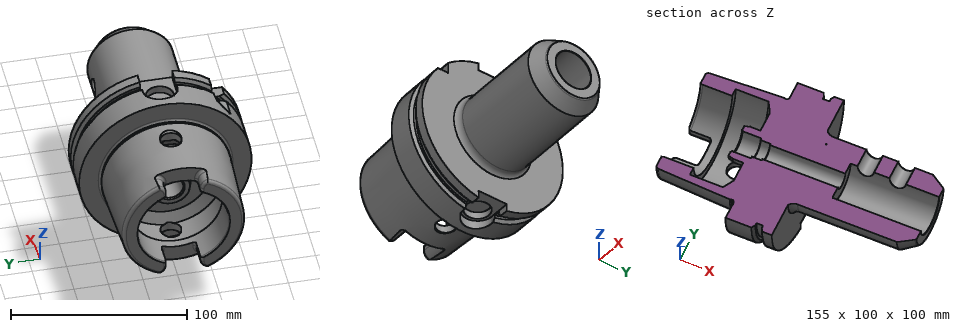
import cadquery as cq
import math

length = 155.0

taper_mouth_radius = 35.5
taper_end_radius = 37.7
taper_end_x = 47.3
mouth_round = 2.0
relief_depth = 0.3
relief_chamfer = 1.0
relief_fillet_length = 1.0
relief_fillet_rise = 1.7

flange_radius = 100.0 / 2
flange_start_x = 50.0
flange_end_x = 79.0
groove_left_x = 66.3
groove_right_x = 73.0
groove_radius = 46.0
groove_chamfer_length = 1.4
groove_chamfer_depth = 2.3

shank_radius = 50.0 / 2
shank_fillet_end_x = 83.7
shank_fillet_rise = 2.5
nose_start_x = 145.5
nose_end_radius = 19.4
nose_round = 0.8

bore_radius = 53.0 / 2
bore_mouth_radius = 53.8 / 2
bore_mouth_chamfer_length = 1.4
recess_radius = 63.0 / 2
recess_start_x = 20.0
recess_end_x = 40.3
floor_radius = 50.0 / 2
floor_x = 44.0

boss_radius = 24.0 / 2
boss_end_radius = 21.9 / 2
boss_start_x = 34.4
boss_chamfer_length = 3.3
boss_mouth_radius = 16.0 / 2
boss_bore_radius = 14.4 / 2
boss_bore_depth = 12.4
step_radius = 12.0 / 2
step_depth = 6.2
coolant_radius = 10.0 / 2

tool_bore_radius = 25.0 / 2
tool_bore_mouth_radius = 25.4 / 2
tool_bore_start_x = 100.0

slot_width = 20.0
slot_corner_radius = 5.3
slot_corner_z = 32.5
slot_edge_round = 1.7
upper_slot_depth = 9.9
lower_slot_depth = 14.9

wall_hole_x = 34.9
wall_hole_radius = 12.0 / 2
wall_hole_sink_z = 36.3
wall_hole_sink_height = 1.9
boss_clearance = 3.1

keyway_radius = 10.0
keyway_x = 65.0
keyway_floor_z = 44.0
keyway_hole_radius = 16.0 / 2
keyway_hole_depth = 4.6
side_keyway_wall_y = -31.5
side_keyway_floor_z = 31.5

screw_hole_radius = 10.0 / 2
screw_hole_xs = (109.3, 129.1)


def revolve(outline):
    """Turn a closed outline of (x, radius) about the X axis."""
    return outline.close().revolve(360, (0, 0, 0), (1, 0, 0))


def arc_radius(run, offset):
    """Radius of an arc that leaves its tangent line by offset after a given run."""
    return math.hypot(run, offset) ** 2 / (2 * offset)


def turned_body():
    relief_radius = taper_end_radius - relief_depth
    groove_mid_radius = flange_radius - groove_chamfer_depth
    relief_fillet_radius = arc_radius(relief_fillet_rise, relief_fillet_length)
    shank_fillet_radius = arc_radius(shank_fillet_end_x - flange_end_x, shank_fillet_rise)
    outline = (
        cq.Workplane("XY")
        .lineTo(0, taper_mouth_radius - mouth_round)
        .radiusArc((mouth_round, taper_mouth_radius), mouth_round)
        .lineTo(taper_end_x, taper_end_radius)
        .lineTo(taper_end_x + relief_chamfer, relief_radius)
        .lineTo(flange_start_x - relief_fillet_length, relief_radius)
        .radiusArc((flange_start_x, relief_radius + relief_fillet_rise), -relief_fillet_radius)
        .lineTo(flange_start_x, flange_radius)
        .lineTo(groove_left_x, flange_radius)
        .lineTo(groove_left_x + groove_chamfer_length, groove_mid_radius)
        .lineTo(groove_left_x + groove_chamfer_length, groove_radius)
        .lineTo(groove_right_x - groove_chamfer_length, groove_radius)
        .lineTo(groove_right_x - groove_chamfer_length, groove_mid_radius)
        .lineTo(groove_right_x, flange_radius)
        .lineTo(flange_end_x, flange_radius)
        .lineTo(flange_end_x, shank_radius + shank_fillet_rise)
        .radiusArc((shank_fillet_end_x, shank_radius), -shank_fillet_radius)
        .lineTo(nose_start_x, shank_radius)
        .lineTo(length - nose_round, nose_end_radius)
        .lineTo(length, nose_end_radius - nose_round)
        .lineTo(length, 0)
    )
    return revolve(outline)


def cavity():
    boss_bore_chamfer = boss_mouth_radius - boss_bore_radius
    boss_bore_end_x = boss_start_x + boss_bore_depth
    step_end_x = boss_bore_end_x + step_depth
    tool_bore_chamfer = tool_bore_mouth_radius - tool_bore_radius
    outline = (
        cq.Workplane("XY")
        .lineTo(0, bore_mouth_radius)
        .lineTo(bore_mouth_chamfer_length, bore_radius)
        .lineTo(recess_start_x, bore_radius)
        .lineTo(recess_start_x, recess_radius)
        .lineTo(recess_end_x, recess_radius)
        .lineTo(floor_x, floor_radius)
        .lineTo(floor_x, boss_radius)
        .lineTo(boss_start_x + boss_chamfer_length, boss_radius)
        .lineTo(boss_start_x, boss_end_radius)
        .lineTo(boss_start_x, boss_mouth_radius)
        .lineTo(boss_start_x + boss_bore_chamfer, boss_bore_radius)
        .lineTo(boss_bore_end_x, boss_bore_radius)
        .lineTo(boss_bore_end_x, step_radius)
        .lineTo(step_end_x, step_radius)
        .lineTo(step_end_x, coolant_radius)
        .lineTo(tool_bore_start_x, coolant_radius)
        .lineTo(tool_bore_start_x, tool_bore_radius)
        .lineTo(length - tool_bore_chamfer, tool_bore_radius)
        .lineTo(length, tool_bore_mouth_radius)
        .lineTo(length, 0)
    )
    return revolve(outline)


def driving_slot(depth):
    """Slot at the top of the taper mouth whose walls curve outward near the surface."""
    half_width = slot_width / 2
    corner_start_z = slot_corner_z - slot_corner_radius
    corner_end_y = half_width + slot_corner_radius
    outside = 2 * taper_end_radius
    outline = (
        cq.Workplane("YZ")
        .moveTo(-half_width, 0)
        .lineTo(half_width, 0)
        .lineTo(half_width, corner_start_z)
        .radiusArc((corner_end_y, slot_corner_z), slot_corner_radius)
        .lineTo(corner_end_y, outside)
        .lineTo(-corner_end_y, outside)
        .lineTo(-corner_end_y, slot_corner_z)
        .radiusArc((-half_width, corner_start_z), slot_corner_radius)
        .close()
    )
    slot = outline.extrude(depth)
    slab = cq.Workplane("YZ").rect(6 * outside, 6 * outside).extrude(-slot_edge_round)
    cutter = slab.union(slot)
    front_edges = cq.selectors.BoxSelector((-0.2, -outside, -0.2), (0.2, outside, 1.1 * outside))
    cutter = cutter.edges(front_edges).fillet(slot_edge_round)
    return cutter.faces(">X").edges().fillet(slot_edge_round)


def wall_hole():
    """Countersunk hole through the upper taper wall."""
    base = cq.Workplane("XY", origin=(wall_hole_x, 0, boss_radius + boss_clearance))
    hole = base.circle(wall_hole_radius).extrude(taper_end_radius)
    sink_edge_radius = wall_hole_radius + wall_hole_sink_height
    sink = cq.Solid.makeCone(
        wall_hole_radius,
        sink_edge_radius,
        wall_hole_sink_height,
        cq.Vector(wall_hole_x, 0, wall_hole_sink_z),
    )
    return hole.union(cq.Workplane(sink))


def keyway(center_y, floor_z):
    """Upright slot with a round end, open towards the tool nose."""
    reach = flange_end_x - keyway_x
    height = flange_radius - floor_z
    base = cq.Workplane("XY", origin=(keyway_x, center_y, floor_z))
    round_end = base.circle(keyway_radius).extrude(height)
    straight = base.center(reach / 2, 0).rect(reach, 2 * keyway_radius).extrude(height)
    return round_end.union(straight)


def keyway_hole():
    base = cq.Workplane("XY", origin=(keyway_x, 0, keyway_floor_z))
    return base.circle(keyway_hole_radius).extrude(-keyway_hole_depth)


def screw_hole(x):
    base = cq.Workplane("XZ", origin=(x, 0, 0))
    return base.circle(screw_hole_radius).extrude(-shank_radius)


def underside(shape):
    """The same shape turned half a turn about the X axis."""
    return shape.rotate((0, 0, 0), (1, 0, 0), 180)


result = turned_body().cut(cavity())
result = result.cut(driving_slot(upper_slot_depth))
result = result.cut(underside(driving_slot(lower_slot_depth)))
result = result.cut(wall_hole()).cut(underside(wall_hole()))
top_keyway = keyway(0, keyway_floor_z).union(keyway_hole())
result = result.cut(top_keyway).cut(underside(top_keyway))
result = result.cut(keyway(side_keyway_wall_y - keyway_radius, side_keyway_floor_z))
for hole_x in screw_hole_xs:
    result = result.cut(screw_hole(hole_x))